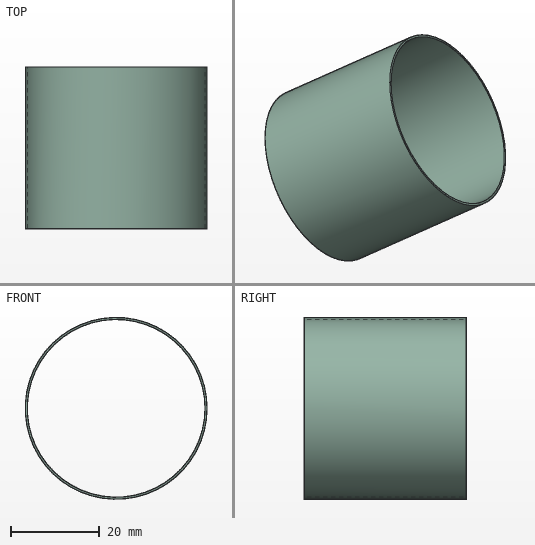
import cadquery as cq

outer_diameter = 41.0
wall_thickness = 0.5
length = 36.5

inner_diameter = outer_diameter - 2 * wall_thickness


def make_sleeve():
    """Tube centred on the origin."""
    ring = cq.Workplane("XZ", origin=(0, length / 2, 0))
    ring = ring.circle(outer_diameter / 2).circle(inner_diameter / 2)
    return ring.extrude(length)


result = make_sleeve()